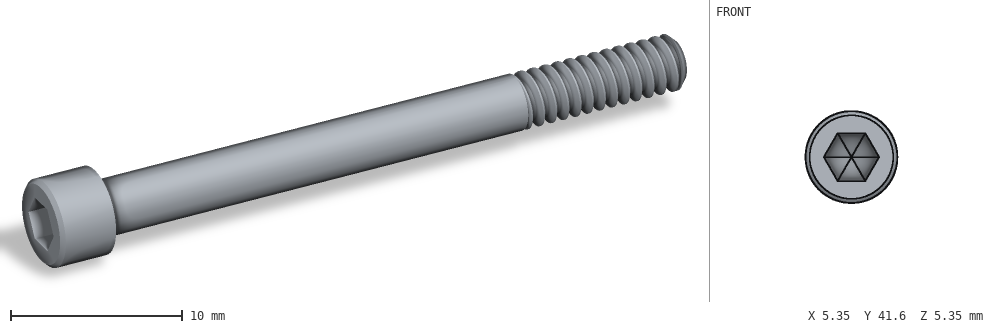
import cadquery as cq
import math

total_length = 41.6
head_diameter = 5.35
head_height = 3.55
head_chamfer = 0.25
shank_diameter = 3.4
root_diameter = 2.6
thread_length = 10.6
tip_chamfer = 0.45
advance_in_ten_turns = 7.95
flank_half_angle = 30.0
crest_offset = 0.85
socket_sides = 6
socket_across_flats = 2.8
socket_depth = 1.62
socket_point_angle = 140.0
cutter_overshoot = 0.05

thread_pitch = advance_in_ten_turns / 10
crest_flat = thread_pitch / 8
shank_length = total_length - head_height
shank_radius = shank_diameter / 2
root_radius = root_diameter / 2
thread_start = shank_length - thread_length
thread_end = shank_length - tip_chamfer


def along_y(start):
    """Workplane across the screw axis, facing +Y, with its local x along +X."""
    return cq.Workplane(cq.Plane(origin=(0, start, 0), xDir=(1, 0, 0), normal=(0, 1, 0)))


def make_blank():
    """Turned head and shank, before the socket and thread are cut."""
    head = along_y(-head_height).circle(head_diameter / 2).extrude(head_height)
    head = head.faces("<Y").chamfer(head_chamfer)
    shank = along_y(0).circle(shank_radius).extrude(shank_length)
    shank = shank.faces(">Y").chamfer(tip_chamfer)
    return head.union(shank)


def make_socket():
    """Hexagonal key socket with a shallow six-sided pyramid at its bottom."""
    corner_radius = socket_across_flats / 2 / math.cos(math.pi / socket_sides)
    point_height = socket_across_flats / 2 / math.tan(math.radians(socket_point_angle / 2))
    mouth = -head_height
    floor = mouth + socket_depth

    def hexagon(y):
        angles = [2 * math.pi * i / socket_sides for i in range(socket_sides)]
        return [cq.Vector(corner_radius * math.cos(a), y, corner_radius * math.sin(a)) for a in angles]

    mouth_corners = hexagon(mouth)
    floor_corners = hexagon(floor)
    apex = cq.Vector(0, floor + point_height, 0)
    outlines = [mouth_corners]
    for i in range(socket_sides):
        following = (i + 1) % socket_sides
        wall = [mouth_corners[i], mouth_corners[following], floor_corners[following], floor_corners[i]]
        outlines.append(wall)
        outlines.append([floor_corners[i], floor_corners[following], apex])
    faces = [cq.Face.makeFromWires(cq.Wire.makePolygon(outline, close=True)) for outline in outlines]
    return cq.Workplane(obj=cq.Solid.makeSolid(cq.Shell.makeShell(faces)))


def make_thread_groove():
    """Right-hand helical V groove, trimmed square at both ends of the thread."""
    tan_flank = math.tan(math.radians(flank_half_angle))
    outer_radius = shank_radius + cutter_overshoot
    outer_half = (thread_pitch - crest_flat) / 2 + cutter_overshoot * tan_flank
    root_half = outer_half - (outer_radius - root_radius) * tan_flank

    turns = math.ceil(thread_length / thread_pitch) + 2
    groove_start = shank_length - crest_offset - (turns - 0.25) * thread_pitch
    helix = cq.Wire.makeHelix(
        thread_pitch,
        (turns + 1) * thread_pitch,
        root_radius,
        center=cq.Vector(0, groove_start, 0),
        dir=cq.Vector(0, 1, 0),
    )
    profile = cq.Workplane("YZ").polyline([
        (groove_start - root_half, root_radius),
        (groove_start - outer_half, outer_radius),
        (groove_start + outer_half, outer_radius),
        (groove_start + root_half, root_radius),
    ]).close()
    groove = profile.sweep(cq.Workplane(obj=helix), isFrenet=True)
    thread_zone = along_y(thread_start).circle(shank_diameter).extrude(thread_end - thread_start)
    return groove.intersect(thread_zone)


result = make_blank().cut(make_socket()).cut(make_thread_groove())